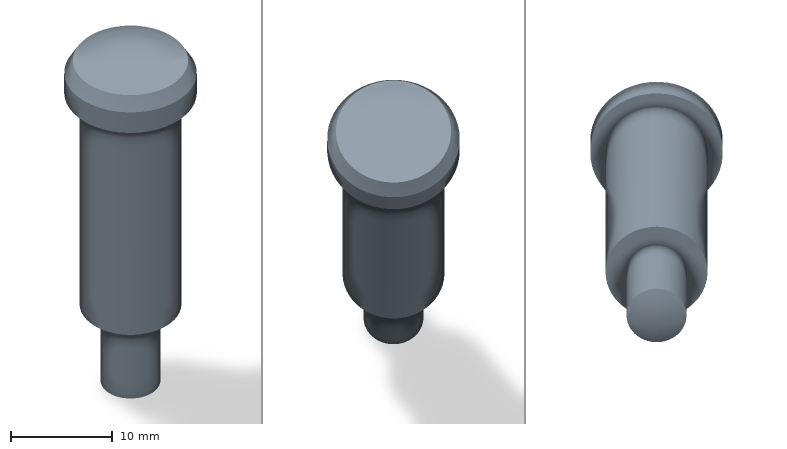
import cadquery as cq
import math

head_diameter = 13.0
head_height = 4.0
bevel_height = 1.5
bevel_angle = 30.0
barrel_diameter = 10.0
housing_length = 30.0

overall_length = 40.0
plunger_diameter = 5.9
dome_height = 0.6

head_radius = head_diameter / 2
barrel_radius = barrel_diameter / 2
plunger_radius = plunger_diameter / 2
head_top_radius = head_radius - bevel_height * math.tan(math.radians(bevel_angle))

housing_bottom = overall_length - housing_length
head_bottom = overall_length - head_height
bevel_bottom = overall_length - bevel_height


def revolve_about_z(profile):
    """Revolve a closed XZ profile a full turn about the Z axis."""
    return profile.close().revolve(360, (0, 0, 0), (0, 1, 0))


def make_housing():
    """Solid barrel with a wider, bevelled head on top."""
    profile = (
        cq.Workplane("XZ")
        .moveTo(0, housing_bottom)
        .lineTo(barrel_radius, housing_bottom)
        .lineTo(barrel_radius, head_bottom)
        .lineTo(head_radius, head_bottom)
        .lineTo(head_radius, bevel_bottom)
        .lineTo(head_top_radius, overall_length)
        .lineTo(0, overall_length)
    )
    return revolve_about_z(profile)


def make_plunger():
    """Round pin that meets the housing's lower face and ends in a shallow dome."""
    dome_radius = (plunger_radius**2 + dome_height**2) / (2 * dome_height)
    half_angle = math.asin(plunger_radius / dome_radius) / 2
    arc_middle = (
        dome_radius * math.sin(half_angle),
        dome_radius * (1 - math.cos(half_angle)),
    )
    profile = (
        cq.Workplane("XZ")
        .moveTo(0, 0)
        .threePointArc(arc_middle, (plunger_radius, dome_height))
        .lineTo(plunger_radius, housing_bottom)
        .lineTo(0, housing_bottom)
    )
    return revolve_about_z(profile)


housing = make_housing()
plunger = make_plunger()

result = cq.Compound.makeCompound([housing.val(), plunger.val()])